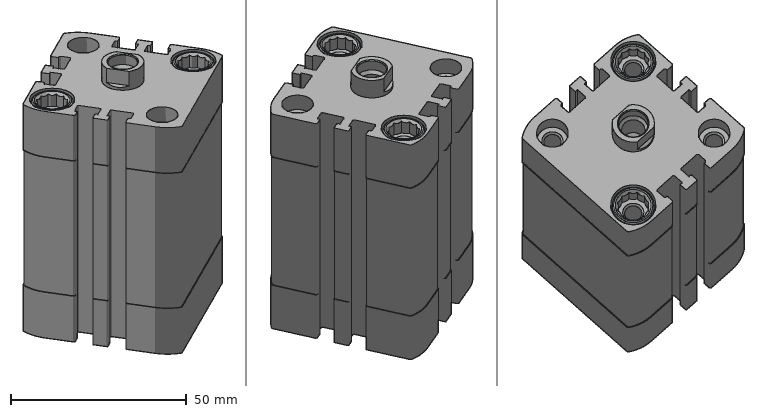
import cadquery as cq
import math

total_height = 80.0
housing_height = 74.0
cap_height = 15.0
half_width = 23.5
barrel_inset = 0.2

hole_offset = 16.2
corner_radius = 12.8
corner_rounding = 0.8

slot_depth = 5.9
lip_depth = 2.5
rib_neck_half = 1.4
rib_head_half = 2.2
mouth_outer = 7.4
pocket_outer = 8.3
mouth_rounding = 0.6
rib_rounding = 0.2
pocket_rounding = 0.5
slot_directions = (0, 90, 180)

through_radius = 4.9 / 2
hole_entry_radius = 6.0 / 2
hole_entry_depth = hole_entry_radius - through_radius
counterbore_radius = 9.0 / 2
counterbore_depth = 5.0

screw_recess_radius = 12.8 / 2
screw_head_radius = 11.9 / 2
screw_head_drop = 0.2
screw_head_chamfer = 0.4
funnel_radius = 10.2 / 2
spline_tip_radius = 8.5 / 2
spline_root_radius = 4.6
spline_count = 12
spline_tip_share = 0.36
socket_depth = 4.8

rod_radius = 12.0 / 2
rod_bottom = housing_height - cap_height
flat_half_width = 10.0 / 2
flat_height = 4.6
flat_foot_drop = 0.5
bore_mouth_radius = 9.0 / 2
bore_radius = 8.4 / 2
bore_depth = 3.4
core_radius = 6.6 / 2
core_depth = 12.0
drill_half_angle = 59.0


def outline(half):
    """Square outline with a broad arc at each corner; the arcs share fixed centres."""
    centre_y = half_width - corner_radius
    radius = half - centre_y
    side_y = centre_y + math.sqrt(radius**2 - (half - hole_offset) ** 2)
    return (
        cq.Workplane("XY")
        .moveTo(-hole_offset, half)
        .lineTo(hole_offset, half)
        .radiusArc((half, side_y), radius)
        .lineTo(half, -side_y)
        .radiusArc((hole_offset, -half), radius)
        .lineTo(-hole_offset, -half)
        .radiusArc((-half, -side_y), radius)
        .lineTo(-half, side_y)
        .radiusArc((-hole_offset, half), radius)
        .close()
    )


def slot_pair(half, height):
    """Space of the two slots in the +Y face, with rounded pockets and flared mouths."""
    floor_y = half_width - slot_depth
    lip_y = half_width - lip_depth
    flare_y = half - mouth_rounding
    rib_flare_y = half - rib_rounding
    slot = (
        cq.Workplane("XY")
        .moveTo(rib_neck_half, floor_y)
        .lineTo(pocket_outer, floor_y)
        .lineTo(pocket_outer, lip_y)
        .lineTo(mouth_outer, lip_y)
        .lineTo(mouth_outer, flare_y)
        .radiusArc((mouth_outer + mouth_rounding, half), mouth_rounding)
        .lineTo(rib_head_half - rib_rounding, half)
        .radiusArc((rib_head_half, rib_flare_y), rib_rounding)
        .lineTo(rib_head_half, lip_y)
        .lineTo(rib_neck_half, lip_y)
        .close()
        .extrude(height)
    )
    for corner in (
        (rib_neck_half, floor_y),
        (pocket_outer, floor_y),
        (pocket_outer, lip_y),
    ):
        nearest = cq.selectors.NearestToPointSelector((*corner, height / 2))
        slot = slot.edges("|Z").edges(nearest).fillet(pocket_rounding)
    return slot.union(slot.mirror("YZ"))


def make_section(half, height, bottom):
    """One length of the housing: outline with rounded corners and slotted faces."""
    section = outline(half).extrude(height)
    section = section.edges("|Z and (<X or >X)").fillet(corner_rounding)
    slots = slot_pair(half, height)
    for angle in slot_directions:
        section = section.cut(slots.rotate((0, 0, 0), (0, 0, 1), angle))
    return section.translate((0, 0, bottom))


def turned(points):
    """Solid of revolution about Z from (radius, height) points."""
    return cq.Workplane("XZ").polyline(points).close().revolve(360, (0, 0), (0, 1))


def counterbored_hole():
    """Space of a plain corner hole, with its mouth at the top of the housing."""
    floor_z = housing_height - counterbore_depth
    return turned([
        (0, housing_height),
        (counterbore_radius, housing_height),
        (counterbore_radius, floor_z),
        (hole_entry_radius, floor_z),
        (through_radius, floor_z - hole_entry_depth),
        (through_radius, 0),
        (0, 0),
    ])


def spline_socket():
    """Twelve-point star prism that cuts the V grooves of the screw socket."""
    pitch = 2 * math.pi / spline_count
    groove_half_angle = pitch * (1 - spline_tip_share) / 2
    points = []
    for i in range(spline_count):
        middle = i * pitch
        corners = (
            (spline_tip_radius, middle - groove_half_angle),
            (spline_root_radius, middle),
            (spline_tip_radius, middle + groove_half_angle),
        )
        for radius, angle in corners:
            points.append((radius * math.cos(angle), radius * math.sin(angle)))
    return (
        cq.Workplane("XY", origin=(0, 0, housing_height - socket_depth))
        .polyline(points)
        .close()
        .extrude(socket_depth)
    )


def screw_hole():
    """Space around and inside a sunk screw head with a splined socket."""
    head_z = housing_height - screw_head_drop
    floor_z = housing_height - socket_depth
    space = turned([
        (0, housing_height),
        (screw_recess_radius, housing_height),
        (screw_recess_radius, floor_z),
        (screw_head_radius, floor_z),
        (screw_head_radius, head_z - screw_head_chamfer),
        (screw_head_radius - screw_head_chamfer, head_z),
        (funnel_radius, head_z),
        (spline_tip_radius, head_z - (funnel_radius - spline_tip_radius)),
        (spline_tip_radius, floor_z),
        (hole_entry_radius, floor_z),
        (through_radius, floor_z - hole_entry_depth),
        (through_radius, 0),
        (0, 0),
    ])
    return space.union(spline_socket())


def make_housing():
    """Two end caps and the barrel, with the corner holes and the rod's seat."""
    barrel_height = housing_height - 2 * cap_height
    body = make_section(half_width, cap_height, 0)
    body = body.union(make_section(half_width - barrel_inset, barrel_height, cap_height))
    body = body.union(make_section(half_width, cap_height, housing_height - cap_height))
    for side in (-1, 1):
        x = side * hole_offset
        body = body.cut(counterbored_hole().translate((x, -x, 0)))
        body = body.cut(screw_hole().translate((x, x, 0)))
    seat = cq.Workplane("XY", origin=(0, 0, rod_bottom)).circle(rod_radius).extrude(cap_height)
    return body.cut(seat)


def make_rod():
    """Piston rod with two wrench flats and a stepped, drill-pointed bore."""
    rod_length = total_height - rod_bottom
    rod = cq.Workplane("XY", origin=(0, 0, rod_bottom)).circle(rod_radius).extrude(rod_length)

    foot_z = total_height - flat_height
    flat = (
        cq.Workplane("YZ")
        .moveTo(flat_half_width, total_height)
        .lineTo(flat_half_width, foot_z)
        .lineTo(rod_radius, foot_z - flat_foot_drop)
        .lineTo(rod_radius, total_height)
        .close()
        .extrude(rod_radius, both=True)
    )
    rod = rod.cut(flat).cut(flat.mirror("XZ"))

    mouth_z = total_height - (bore_mouth_radius - bore_radius)
    step_z = total_height - bore_depth
    core_z = total_height - core_depth
    tip_z = core_z - core_radius / math.tan(math.radians(drill_half_angle))
    bore = turned([
        (0, total_height),
        (bore_mouth_radius, total_height),
        (bore_radius, mouth_z),
        (bore_radius, step_z),
        (core_radius, step_z - (bore_radius - core_radius)),
        (core_radius, core_z),
        (0, tip_z),
    ])
    return rod.cut(bore)


housing = make_housing()
rod = make_rod()
result = cq.Compound.makeCompound([housing.val(), rod.val()])